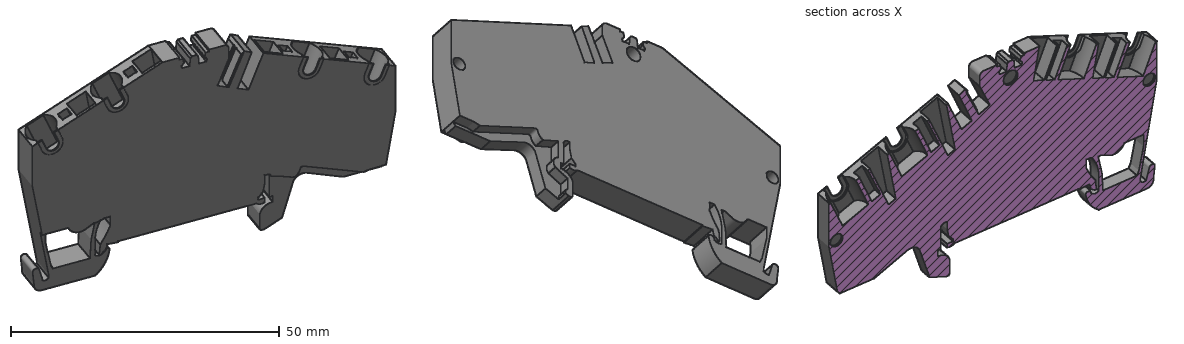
import cadquery as cq
import math


LENGTH = 74.9
HEIGHT = 45.1
THICKNESS = 6.1
FOOT_THICKNESS = 5.25
REAR_FOOT_SETBACK = 2.25
FRONT = -LENGTH / 2
REAR = LENGTH / 2

BASE_Z = 7.05
FRONT_ROOT_Z = 13.2
FRONT_SHOULDER_Z = 34.0
REAR_SHOULDER_Z = 29.7
FRONT_RIDGE_Y = -10.6
REAR_RIDGE = (10.2, 40.9)

FRONT_BEND_Z = 24.95
FRONT_ARM_FOOT = (-33.7, 3.15)
FRONT_ROOT_Y = FRONT + (FRONT_ARM_FOOT[0] - FRONT) * (
    (FRONT_BEND_Z - FRONT_ROOT_Z) / (FRONT_BEND_Z - FRONT_ARM_FOOT[1])
)

MARKER_Y = -4.05
MARKER_RIM_Z = 44.6
MARKER_FLOOR_Z = 42.55
MARKER_HALF_PROFILE = [
    (3.1, HEIGHT),
    (3.1, MARKER_RIM_Z),
    (2.3, MARKER_RIM_Z),
    (2.1, 43.65),
    (2.6, 43.05),
    (2.5, MARKER_FLOOR_Z),
    (1.0, MARKER_FLOOR_Z),
    (0.8, 44.2),
    (0.5, MARKER_RIM_Z),
]

FIN_FACE_TOP = (5.7, 41.9)
FIN_FACE_BOTTOM = (2.85, 35.35)
FIN_CHAMFER = 0.2
FIN_GROOVE_WIDTH = 1.05
FIN_GROOVE_DEPTH = 0.4

SIDE_HOLES = [
    (MARKER_Y, 40.6, 1.6),
    (-35.65, 25.7, 1.35),
    (35.65, 20.1, 1.35),
]
SIDE_HOLE_DEPTH = 3.0

STATION_PITCH = 14.6
STATIONS_PER_SLOPE = 2
WIRE_UP = 3.5
WIRE_X = 2.9
WIRE_DIAMETER = 6.3
WIRE_WIDTH = 5.1
TEST_UP = 8.6
TEST_SIZE = 2.0
CLAMP_UP = 12.3
CLAMP_LENGTH = 4.2
CLAMP_WIDTH = 4.2
CLAMP_TAPER = 12.5
PORT_X = 3.4
PORT_DEPTH = 7.5
REAR_CLAMP_DEPTH = 11.2

NOTCH_WIDTH = 2.7
NOTCH_DEPTH = 3.75
NOTCH_STEP = 0.9
NOTCH_STEP_END_X = 5.85


def extrude_outline(steps, x_start, x_end):
    """Extrude a closed (y, z) outline from x_start to x_end."""
    sketch = cq.Workplane("YZ", origin=(x_start, 0, 0)).moveTo(*steps[0])
    for step in steps[1:]:
        if isinstance(step[0], tuple):
            sketch = sketch.threePointArc(*step)
        else:
            sketch = sketch.lineTo(*step)
    return sketch.close().extrude(x_end - x_start)


def box_between(x_start, x_end, up, length, depth, plane):
    """Box sunk to depth below a slope plane, centred at the given distance."""
    return (
        cq.Workplane(plane)
        .center((x_start + x_end) / 2, up)
        .rect(x_end - x_start, length)
        .extrude(-depth)
    )


def make_body():
    """Main body over the full thickness, without its feet."""
    marker_front = [(MARKER_Y - dy, z) for dy, z in MARKER_HALF_PROFILE]
    marker_rear = [(MARKER_Y + dy, z) for dy, z in reversed(MARKER_HALF_PROFILE)]
    front_end = [
        (FRONT_ROOT_Y, FRONT_ROOT_Z),
        (FRONT, FRONT_BEND_Z),
        (FRONT, FRONT_SHOULDER_Z),
        (FRONT_RIDGE_Y, HEIGHT),
    ]
    slots_and_fin = [
        (2.2, HEIGHT),
        ((2.8, 44.8), (3.1, 44.2)),
        (3.1, 41.8),
        (0.75, 36.3),
        FIN_FACE_BOTTOM,
        FIN_FACE_TOP,
        (6.3, 42.55),
        (7.8, 41.8),
        (4.9, 34.45),
        (7.1, 33.5),
        REAR_RIDGE,
    ]
    rear_end = [
        (REAR, REAR_SHOULDER_Z),
        (REAR, 19.3),
        (35.5, 7.8),
        (32.3, 7.8),
        (30.9, 7.5),
        (18.6, 12.6),
        ((18.05, 12.6), (17.75, 12.1)),
        ((17.4, 11.3), (16.6, 10.6)),
        (13.1, 12.0),
    ]
    rear_slot = [
        (11.8, 12.3),
        ((11.5, 12.7), (11.1, 12.95)),
        (10.5, 12.95),
        (10.5, 11.2),
        (10.1, 9.3),
        (9.1, 8.25),
        (9.1, 7.8),
        (10.5, 7.8),
        (10.5, 6.8),
        ((9.65, 6.7), (8.75, BASE_Z)),
    ]
    front_hook = [
        (-19.8, BASE_Z),
        (-19.8, 6.8),
        (-22.0, BASE_Z),
        (-22.3, 5.8),
        (-23.2, 5.1),
        (-23.7, 5.1),
        (-23.45, 7.4),
        ((-22.3, 9.2), (-21.35, 11.2)),
        (-21.35, FRONT_ROOT_Z),
    ]
    underside_above_foot = [
        (-22.5, FRONT_ROOT_Z),
        (-24.2, 12.65),
        (-24.7, 12.7),
        (-26.35, 11.9),
        ((-28.45, 11.7), (-30.0, FRONT_ROOT_Z)),
    ]
    outline = (
        front_end + marker_front + marker_rear + slots_and_fin
        + rear_end + rear_slot + front_hook + underside_above_foot
    )
    return extrude_outline(outline, 0, THICKNESS)


def make_front_foot():
    """Open frame on a spring leg and an outer arm, with a release lip in front."""
    outline = [
        (FRONT_ROOT_Y, FRONT_ROOT_Z),
        FRONT_ARM_FOOT,
        (-33.7, 2.5),
        ((-34.15, 2.1), (-34.9, 2.2)),
        (-35.6, 4.65),
        ((-36.3, 5.3), (-37.0, 4.5)),
        (-36.7, 1.8),
        ((-36.25, 0.45), (-35.1, 0)),
        (-24.1, 0),
        ((-22.3, 1.9), (-21.1, 4.95)),
        ((-21.3, 5.4), (-21.7, 5.55)),
        (-22.25, 5.5),
        (-22.5, 4.8),
        ((-23.2, 4.35), (-24.1, 4.65)),
        (-24.1, 7.7),
        ((-23.5, 11.2), (-22.5, FRONT_ROOT_Z)),
    ]
    window = [
        (-34.3, FRONT_ROOT_Z),
        (-34.3, 10.5),
        (-33.25, 5.25),
        (-32.8, 4.3),
        (-25.2, 4.3),
        (-24.95, 8.5),
        (-24.1, 12.5),
        (-24.1, FRONT_ROOT_Z),
    ]
    foot = extrude_outline(outline, 0, FOOT_THICKNESS)
    return foot.cut(extrude_outline(window, 0, FOOT_THICKNESS))


def make_rear_foot():
    """Wedge-shaped foot with a rib under the body, and the rail flange in front of it."""
    flange = [
        (13.1, 12.0),
        (13.1, 8.1),
        ((14.15, 6.9), (13.8, 5.5)),
        (11.0, 4.05),
        (11.0, 1.6),
        (11.45, 1.05),
        (11.45, 0.3),
        (10.7, 0),
        (10.1, 0),
        (9.8, 0.3),
        (9.8, 3.75),
        ((10.6, 5.1), (12.5, 5.8)),
        (12.5, BASE_Z),
        (11.8, BASE_Z),
        (11.8, 12.3),
    ]
    wedge = [
        (35.5, 7.8),
        (34.9, BASE_Z),
        (27.0, BASE_Z),
        (19.5, 10.25),
        ((18.2, 10.3), (16.8, 9.2)),
        (14.45, 1.6),
        (11.45, 0.3),
        (10.7, 0.4),
        (10.85, 4.35),
        (12.7, 6.0),
        (12.7, 12.35),
        (18.0, 13.1),
        (30.9, 7.9),
    ]
    return extrude_outline(flange, 0, FOOT_THICKNESS).union(
        extrude_outline(wedge, REAR_FOOT_SETBACK, FOOT_THICKNESS)
    )


def make_wire_hole(plane, up):
    """Flattened round hole with a stepped U notch out to the +X face."""
    round_hole = cq.Workplane(plane).center(WIRE_X, up).circle(WIRE_DIAMETER / 2).extrude(-PORT_DEPTH)
    wall_x = WIRE_X + WIRE_WIDTH / 2
    flats = box_between(WIRE_X - WIRE_WIDTH / 2, wall_x, up, WIRE_DIAMETER, PORT_DEPTH, plane)
    wide_notch = make_notch(plane, up, NOTCH_STEP, NOTCH_STEP_END_X)
    narrow_notch = make_notch(plane, up, 0, THICKNESS)
    return round_hole.intersect(flats).union(wide_notch).union(narrow_notch)


def make_notch(plane, up, margin, x_end):
    """U-shaped cutter from the wire hole centre to x_end, enlarged by margin."""
    radius = NOTCH_WIDTH / 2 + margin
    round_center_depth = NOTCH_DEPTH - NOTCH_WIDTH / 2
    straight = box_between(WIRE_X, x_end, up, 2 * radius, round_center_depth, plane)
    across = cq.Plane(
        origin=plane.toWorldCoords((WIRE_X, up, -round_center_depth)).toTuple(),
        xDir=plane.yDir.toTuple(),
        normal=(1, 0, 0),
    )
    return straight.union(cq.Workplane(across).circle(radius).extrude(x_end - WIRE_X))


def make_clamp_pocket(plane, uphill, up, depth):
    """Rectangular pocket whose upper wall leans in towards the bottom."""
    lower = up - CLAMP_LENGTH / 2
    upper = up + CLAMP_LENGTH / 2
    lean = depth * math.tan(math.radians(CLAMP_TAPER))
    corners = [(lower, 0), (upper, 0), (upper - lean, -depth), (lower, -depth)]
    profile = [
        plane.toWorldCoords((0, uphill * distance, height)).toTuple()[1:]
        for distance, height in corners
    ]
    return extrude_outline(profile, PORT_X - CLAMP_WIDTH / 2, PORT_X + CLAMP_WIDTH / 2)


def make_slope_cutters(lower_y, lower_z, upper_y, upper_z, clamp_depth):
    """All openings of one wiring slope, sunk square to its surface."""
    run = upper_y - lower_y
    rise = upper_z - lower_z
    angle = math.atan2(rise, abs(run))
    uphill = math.copysign(1, run)
    plane = cq.Plane(
        origin=(0, lower_y, lower_z),
        xDir=(1, 0, 0),
        normal=(0, -uphill * math.sin(angle), math.cos(angle)),
    )
    cutters = []
    for station in range(STATIONS_PER_SLOPE):
        offset = station * STATION_PITCH
        cutters.append(make_wire_hole(plane, uphill * (offset + WIRE_UP)))
        test_start_x = PORT_X - TEST_SIZE / 2
        test_end_x = PORT_X + TEST_SIZE / 2
        test_up = uphill * (offset + TEST_UP)
        cutters.append(box_between(test_start_x, test_end_x, test_up, TEST_SIZE, PORT_DEPTH, plane))
        cutters.append(make_clamp_pocket(plane, uphill, offset + CLAMP_UP, clamp_depth))
    return cutters


def chamfer_fin(part):
    """Bevel the two side edges of the fin's front face."""
    middle_y = (FIN_FACE_TOP[0] + FIN_FACE_BOTTOM[0]) / 2
    middle_z = (FIN_FACE_TOP[1] + FIN_FACE_BOTTOM[1]) / 2
    edges = part.edges(cq.NearestToPointSelector((0, middle_y, middle_z))).add(
        part.edges(cq.NearestToPointSelector((THICKNESS, middle_y, middle_z)))
    )
    return edges.chamfer(FIN_CHAMFER)


def make_fin_groove():
    """Shallow groove down the middle of the fin's front face."""
    run = FIN_FACE_TOP[0] - FIN_FACE_BOTTOM[0]
    rise = FIN_FACE_TOP[1] - FIN_FACE_BOTTOM[1]
    face_length = math.hypot(run, rise)
    inward_y = FIN_GROOVE_DEPTH * rise / face_length
    inward_z = -FIN_GROOVE_DEPTH * run / face_length
    profile = [
        FIN_FACE_BOTTOM,
        FIN_FACE_TOP,
        (FIN_FACE_TOP[0] + inward_y, FIN_FACE_TOP[1] + inward_z),
        (FIN_FACE_BOTTOM[0] + inward_y, FIN_FACE_BOTTOM[1] + inward_z),
    ]
    middle_x = THICKNESS / 2
    return extrude_outline(profile, middle_x - FIN_GROOVE_WIDTH / 2, middle_x + FIN_GROOVE_WIDTH / 2)


result = chamfer_fin(make_body()).cut(make_fin_groove())
result = result.union(make_front_foot()).union(make_rear_foot())

front_cutters = make_slope_cutters(FRONT, FRONT_SHOULDER_Z, FRONT_RIDGE_Y, HEIGHT, PORT_DEPTH)
rear_cutters = make_slope_cutters(REAR, REAR_SHOULDER_Z, *REAR_RIDGE, REAR_CLAMP_DEPTH)
for cutter in front_cutters + rear_cutters:
    result = result.cut(cutter)

for hole_y, hole_z, hole_radius in SIDE_HOLES:
    hole = cq.Workplane("YZ").center(hole_y, hole_z).circle(hole_radius).extrude(SIDE_HOLE_DEPTH)
    result = result.cut(hole)